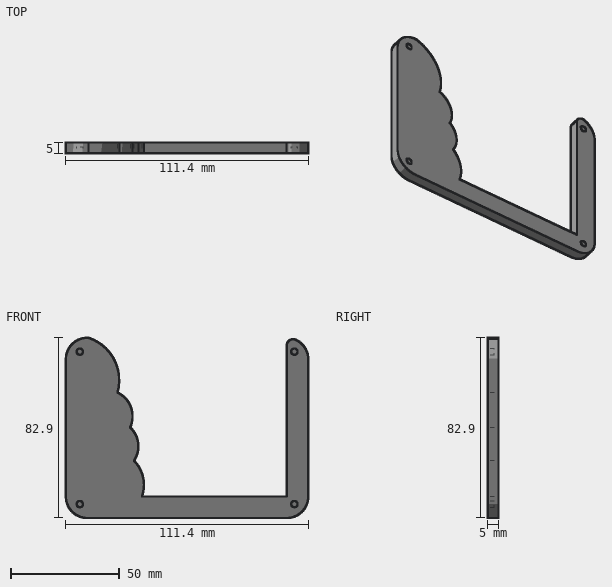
import cadquery as cq
import math

width = 111.4
thickness = 5.0
height = 82.9

bar_width = 10.0
corner_radius = 10.0
arm_tip_radius = 3.0
hole_diameter = 2.9
hole_inset = 6.5
hole_depth = 3.0

scallop_start = (10.4, height)
scallops = [
    ((24.6, 63.0), (23.8, 57.7)),
    ((30.7, 46.5), (29.6, 41.7)),
    ((33.4, 33.4), (31.4, 26.4)),
    ((36.0, 15.5), (35.1, bar_width)),
]


def add_slim_arm(outline):
    """Draw the right arm up to its tip, where a small arc blends into the outer corner arc."""
    inner_x = width - bar_width
    corner_x = width - corner_radius
    corner_z = height - corner_radius
    tip_x = inner_x + arm_tip_radius

    center_gap = corner_radius - arm_tip_radius
    tip_z = corner_z + math.sqrt(center_gap**2 - (tip_x - corner_x) ** 2)
    blend_angle = math.atan2(tip_z - corner_z, tip_x - corner_x)
    blend_x = corner_x + corner_radius * math.cos(blend_angle)
    blend_z = corner_z + corner_radius * math.sin(blend_angle)

    return (
        outline.lineTo(inner_x, bar_width)
        .lineTo(inner_x, tip_z)
        .threePointArc((tip_x, tip_z + arm_tip_radius), (blend_x, blend_z))
        .radiusArc((width, corner_z), corner_radius)
    )


def make_plate():
    """U-shaped plate with a scalloped left arm, its front face on the XZ plane."""
    outline = (
        cq.Workplane("XZ")
        .moveTo(0, corner_radius)
        .lineTo(0, height - corner_radius)
        .radiusArc((corner_radius, height), corner_radius)
        .lineTo(*scallop_start)
    )
    for bulge, notch in scallops:
        outline = outline.threePointArc(bulge, notch)
    outline = (
        add_slim_arm(outline)
        .lineTo(width, corner_radius)
        .radiusArc((width - corner_radius, 0), corner_radius)
        .lineTo(corner_radius, 0)
        .radiusArc((0, corner_radius), corner_radius)
        .close()
    )
    return outline.extrude(-thickness)


def drill_holes(plate):
    """Drill a blind hole into the front face near each outer corner."""
    centers = [
        (x, z)
        for x in (hole_inset, width - hole_inset)
        for z in (hole_inset, height - hole_inset)
    ]
    holes = (
        cq.Workplane("XZ")
        .pushPoints(centers)
        .circle(hole_diameter / 2)
        .extrude(-hole_depth)
    )
    return plate.cut(holes)


result = drill_holes(make_plate())